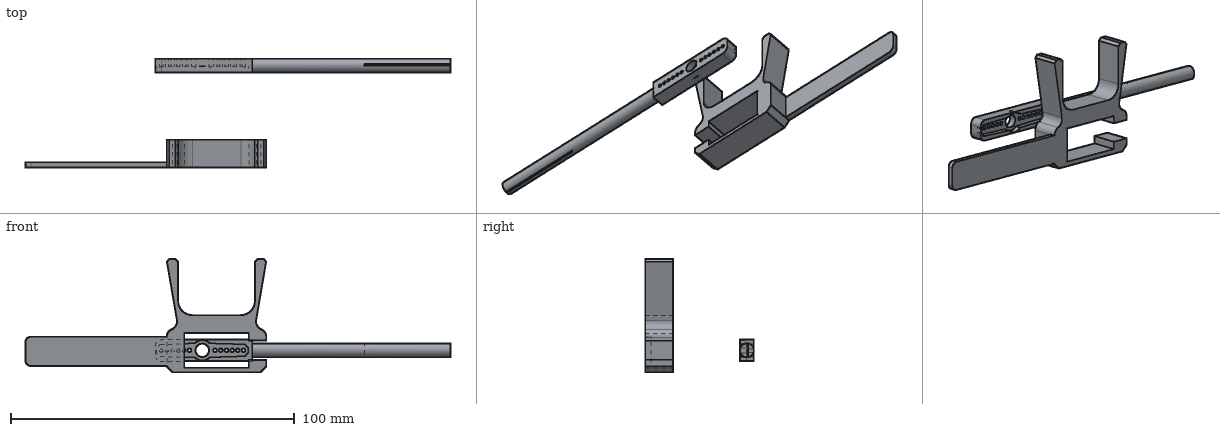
import cadquery as cq
import math

frame_left = 49.8
frame_right = 85.0
frame_mid = (frame_left + frame_right) / 2
frame_depth = 9.9
frame_top = 32.2
frame_bottom = -7.8
frame_half_width = (frame_right - frame_left) / 2
bottom_chamfer = 2.1

shoulder_base = 4.6
shoulder_radius = 3.0
shoulder_blend = 67.0
arm_lean = 9.7
arm_tip_chamfer = 1.0
fork_half_width = 13.5
fork_floor = 12.5
fork_fillet = 5.0

window_left = 56.1
window_right = 78.8
window_height = 12.2
mouth_height = 6.8

handle_thickness = 2.0
handle_top = 4.8
handle_bottom = -5.5
handle_corner = 2.0

lever_thickness = 5.0
lever_back = 38.4
lever_front = lever_back - lever_thickness
head_left = 45.8
head_right = 80.1
head_height = 7.6
head_end_radius = 2.2
rod_end = 150.0
rod_axis_y = lever_back - lever_thickness / 2

slit_start = 119.5
slit_width = 0.5
slit_center_y = rod_axis_y + 0.3

hub_x = 62.4
hub_recess_diameter = 7.2
hub_hole_diameter = 4.6
recess_depth = 2.2
recess_reach = 16.2
recess_root_half = 2.5
recess_tip_half = 2.1
recess_tip_chamfer = 1.2

hole_diameter = 1.2
hole_count = 6
first_hole_offset = 4.5
hole_pitch = 2.01


def front_plane(y):
    """Plane parallel to XZ at the given Y; positive extrusion goes toward -Y."""
    return cq.Workplane("XZ", origin=(0, y, 0))


def polar(center, radius, degrees):
    angle = math.radians(degrees)
    return (center[0] + radius * math.cos(angle), center[1] + radius * math.sin(angle))


def frame_half():
    """Right half of the forked frame, before the window is cut."""
    half = frame_half_width
    shoulder = (half - shoulder_radius, shoulder_base)
    root = polar(shoulder, 2 * shoulder_radius, shoulder_blend)
    arm_start_angle = 180 - arm_lean
    root_mid_angle = (180 + shoulder_blend + arm_start_angle) / 2
    arm_start = polar(root, shoulder_radius, arm_start_angle)
    arm_rise = frame_top - arm_start[1]
    arm_tip = arm_start[0] + arm_rise * math.tan(math.radians(arm_lean))

    outline = (
        front_plane(frame_depth)
        .moveTo(0, frame_bottom)
        .lineTo(half - bottom_chamfer, frame_bottom)
        .lineTo(half, frame_bottom + bottom_chamfer)
        .lineTo(half, shoulder_base)
        .threePointArc(
            polar(shoulder, shoulder_radius, shoulder_blend / 2),
            polar(shoulder, shoulder_radius, shoulder_blend),
        )
        .threePointArc(polar(root, shoulder_radius, root_mid_angle), arm_start)
        .lineTo(arm_tip, frame_top)
        .lineTo(fork_half_width, frame_top)
        .lineTo(fork_half_width, fork_floor)
        .lineTo(0, fork_floor)
        .close()
    )
    body = outline.extrude(frame_depth)
    body = body.faces(">Z").edges("|Y").chamfer(arm_tip_chamfer)
    fork_corner = cq.selectors.NearestToPointSelector((fork_half_width, frame_depth / 2, fork_floor))
    return body.edges("|Y").edges(fork_corner).fillet(fork_fillet)


def make_frame():
    half = frame_half()
    frame = half.union(half.mirror("YZ")).translate((frame_mid, 0, 0))

    handle = cq.Workplane("XY").box(
        window_left, handle_thickness, handle_top - handle_bottom, centered=False
    ).translate((0, 0, handle_bottom))
    handle = handle.edges("|Y and <X").fillet(handle_corner)

    window = cq.Workplane("XY").box(
        window_right - window_left, frame_depth, window_height, centered=(False, False, True)
    ).translate((window_left, 0, 0))
    mouth = cq.Workplane("XY").box(
        frame_right - window_left, frame_depth, mouth_height, centered=(False, False, True)
    ).translate((window_left, 0, 0))
    return frame.union(handle).cut(window).cut(mouth)


def recess_tool():
    """Round hub with two tapered arms, sunk into the front face of the head."""
    floor = lever_front + recess_depth
    tip_start = recess_reach - recess_tip_chamfer
    tip_end_half = recess_tip_half - recess_tip_chamfer
    right_arm = [
        (0, recess_root_half),
        (tip_start, recess_tip_half),
        (recess_reach, tip_end_half),
        (recess_reach, -tip_end_half),
        (tip_start, -recess_tip_half),
        (0, -recess_root_half),
    ]
    arm = front_plane(floor).polyline(right_arm).close().extrude(recess_depth)
    hub = front_plane(floor).circle(hub_recess_diameter / 2).extrude(recess_depth)
    return hub.union(arm).union(arm.mirror("YZ")).translate((hub_x, 0, 0))


def make_lever():
    head = cq.Workplane("XY").box(
        head_right - head_left, lever_thickness, head_height, centered=(False, False, True)
    ).translate((head_left, lever_front, 0))
    head = head.edges("|Y and <X").fillet(head_end_radius)

    rod = (
        cq.Workplane("YZ", origin=(head_right, rod_axis_y, 0))
        .circle(lever_thickness / 2)
        .extrude(rod_end - head_right)
    )
    slit = cq.Workplane("XY").box(
        rod_end - slit_start, slit_width, lever_thickness, centered=(False, True, True)
    ).translate((slit_start, slit_center_y, 0))

    hub_hole = (
        front_plane(lever_back).center(hub_x, 0).circle(hub_hole_diameter / 2).extrude(lever_thickness)
    )
    hole_places = [
        (hub_x + side * (first_hole_offset + i * hole_pitch), 0)
        for side in (-1, 1)
        for i in range(hole_count)
    ]
    small_holes = (
        front_plane(lever_back).pushPoints(hole_places).circle(hole_diameter / 2).extrude(lever_thickness)
    )
    return head.cut(recess_tool()).cut(hub_hole).cut(small_holes).union(rod).cut(slit)


frame = make_frame()
lever = make_lever()
result = cq.Compound.makeCompound([frame.val(), lever.val()])